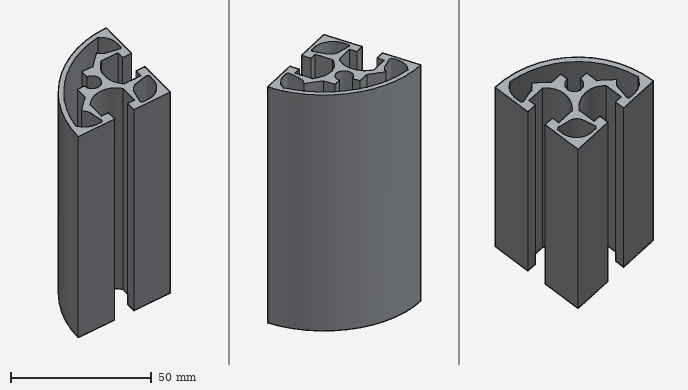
import cadquery as cq
import math

side = 40.0
length = 100.0
half = side / 2

shell_thickness = 2.0

slot_opening = 8.3
slot_width = 14.3
lip_thickness = 3.9
slot_wall_end = 8.9
slot_floor = 5.5

wall_thickness = 1.4
pocket_outer_radius = 7.5
pocket_inner_radius = 4.5
pocket_tip_radius = 0.8
pocket_apex = 10.0
pocket_wall_tilt = 12.0

bore_radius = 3.3
block_half = 6.5
web_shoulder = 4.8
web_end = 9.9


def prism(outline):
    """Extrude a closed outline over the full length."""
    return outline.extrude(length)


def make_blank():
    """Quarter disc whose square corner is at (+half, +half)."""
    arc_mid = half - side * math.sqrt(0.5)
    return prism(
        cq.Workplane("XY")
        .moveTo(half, half)
        .lineTo(-half, half)
        .threePointArc((arc_mid, arc_mid), (half, -half))
        .close()
    )


def make_slot():
    """Slot with a narrow mouth and an arched floor, open towards +Y."""
    mouth = slot_opening / 2
    wall = slot_width / 2
    lip = half - lip_thickness
    return prism(
        cq.Workplane("XY")
        .moveTo(mouth, half)
        .lineTo(mouth, lip)
        .lineTo(wall, lip)
        .lineTo(wall, slot_wall_end)
        .threePointArc((0, slot_floor), (-wall, slot_wall_end))
        .lineTo(-wall, lip)
        .lineTo(-mouth, lip)
        .lineTo(-mouth, half)
        .close()
    )


def make_corner_pocket():
    """Rounded pocket in the +X +Y corner."""
    outer = half - wall_thickness
    tip = pocket_apex - (outer - pocket_apex) * math.tan(math.radians(pocket_wall_tilt))
    pocket = prism(
        cq.Workplane("XY")
        .polyline([(pocket_apex, pocket_apex), (outer, tip), (outer, outer), (tip, outer)])
        .close()
    )
    corner_radii = [
        ((pocket_apex, pocket_apex), pocket_inner_radius),
        ((outer, outer), pocket_outer_radius),
        ((outer, tip), pocket_tip_radius),
        ((tip, outer), pocket_tip_radius),
    ]
    for (x, y), radius in corner_radii:
        corner = cq.selectors.NearestToPointSelector((x, y, length / 2))
        pocket = pocket.edges("|Z").edges(corner).fillet(radius)
    return pocket


def make_shell_void(pocket):
    """Space between the hub and the curved shell, including both side pockets."""
    web_drop = web_end - web_shoulder
    web_tip = -block_half - web_drop
    hub_side = prism(
        cq.Workplane("XY")
        .polyline([
            (-half, web_end),
            (web_tip, web_end),
            (-block_half, web_shoulder),
            (-block_half, 0),
            (0, 0),
            (0, -block_half),
            (web_shoulder, -block_half),
            (web_end, web_tip),
            (web_end, -half),
            (-half, -half),
        ])
        .close()
    )
    inside_shell = prism(cq.Workplane("XY").center(half, half).circle(side - shell_thickness))
    return hub_side.union(pocket.mirror("YZ")).union(pocket.mirror("XZ")).intersect(inside_shell)


corner_pocket = make_corner_pocket()
top_slot = make_slot()
side_slot = top_slot.rotate((0, 0, 0), (0, 0, 1), -90)
bore = prism(cq.Workplane("XY").circle(bore_radius))

result = make_blank()
for void in (top_slot, side_slot, corner_pocket, make_shell_void(corner_pocket), bore):
    result = result.cut(void)